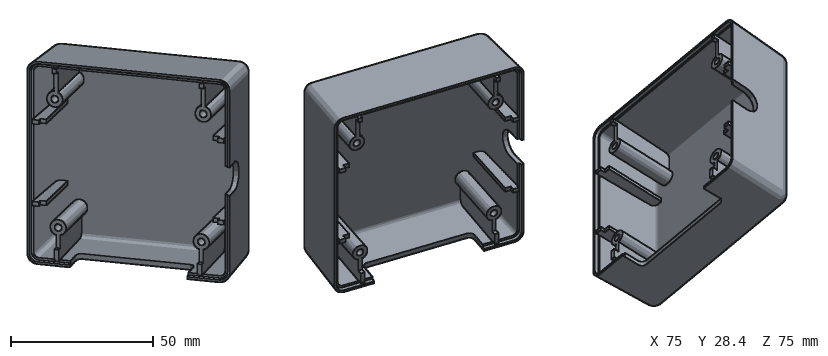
import cadquery as cq
import math

side = 75.0
depth = 28.0
wall = 2.0
draft = 2.0
outer_round = 4.0
inner_round = outer_round - wall
half_opening = side / 2 - wall

rebate_depth = 1.2
rebate_lip = 0.9
rebate_lip_foot = 1.2

rib_thickness = 1.6
rib_top = 1.6

post_diameter = 5.85
post_hole = 2.6
hole_depth = 15.0
post_z = 23.7
upper_tab_length = 1.7
upper_tab_rise = 0.3
lower_tab_length = 4.2
lower_tab_rise = 0.45
upper_left_post_x = -27.75
upper_left_web_x = -27.3
upper_right_post_x = 27.15
lower_post_x = 26.5

side_rib_z = 15.15
side_rib_reach = 4.65
side_tab_length = 2.4
side_tab_rise = 0.3

notch_width = 43.5
notch_depth = 9.4
notch_round = 2.0

port_width = 10.5
port_depth = 11.7
port_z = 0.15


def drafted_block(size, length, radius):
    """Square block narrowing from the rim plane to the back, all edges but the front rounded."""
    block = cq.Workplane("XZ").rect(size, size).extrude(-length, taper=draft)
    return block.edges("not <Y").fillet(radius)


def make_rebate():
    """Recess around the mouth that leaves a thin outer lip with a sloping inner face."""
    size = side - 2 * rebate_lip
    taper = math.degrees(math.atan2(rebate_lip_foot - rebate_lip, rebate_depth))
    recess = cq.Workplane("XZ").rect(size, size).extrude(-rebate_depth, taper=taper)
    return recess.edges("not (<Y or >Y)").fillet(outer_round - rebate_lip)


def make_rib(reach, tab_length, tab_rise):
    """Stepped rib on the +Z wall at X = 0, reaching inward from the opening."""
    inner_z = half_opening - reach
    tab_z = half_opening - tab_length
    profile = [
        (depth, inner_z),
        (rib_top, inner_z),
        (rib_top, tab_z),
        (-tab_rise, tab_z),
        (-tab_rise, half_opening),
        (depth, half_opening),
    ]
    rib = cq.Workplane("YZ", origin=(-rib_thickness / 2, 0, 0)).polyline(profile).close()
    return rib.extrude(rib_thickness)


def cylinder(x, z, diameter, length):
    """Cylinder along +Y starting at the rib front."""
    return cq.Workplane("XZ", origin=(x, rib_top, z)).circle(diameter / 2).extrude(-length)


def make_port():
    """Slot from the rim into the +X wall, ending in a half circle."""
    radius = port_width / 2
    centre_y = port_depth - radius
    plane = cq.Workplane("YZ", origin=(0, 0, port_z))
    round_end = plane.center(centre_y, 0).circle(radius).extrude(side)
    straight = plane.rect(2 * centre_y, port_width).extrude(side)
    return round_end.union(straight)


def make_notch():
    """Wide cut from the rim into the -Z wall, with rounded inner corners."""
    block = cq.Workplane("XY").box(notch_width, 2 * notch_depth, side / 2)
    return block.edges("|Z and >Y").fillet(notch_round).translate((0, 0, -side / 2))


outer = drafted_block(side, depth, outer_round)
cavity = drafted_block(2 * half_opening, depth - wall, inner_round)
result = outer.cut(cavity).cut(make_rebate()).cut(make_notch()).cut(make_port())

y_axis = ((0, 0, 0), (0, 1, 0))
web_reach = half_opening - post_z
upper_web = make_rib(web_reach, upper_tab_length, upper_tab_rise)
lower_web = make_rib(web_reach, lower_tab_length, lower_tab_rise).rotate(*y_axis, 180)
side_rib = make_rib(side_rib_reach, side_tab_length, side_tab_rise)
fittings = [
    upper_web.translate((upper_left_web_x, 0, 0)),
    upper_web.translate((upper_right_post_x, 0, 0)),
    lower_web.translate((-lower_post_x, 0, 0)),
    lower_web.translate((lower_post_x, 0, 0)),
]
for turn in (90, -90):
    turned_rib = side_rib.rotate(*y_axis, turn)
    for z in (side_rib_z, -side_rib_z):
        fittings.append(turned_rib.translate((0, 0, z)))

post_centres = [
    (upper_left_post_x, post_z),
    (upper_right_post_x, post_z),
    (-lower_post_x, -post_z),
    (lower_post_x, -post_z),
]
for x, z in post_centres:
    fittings.append(cylinder(x, z, post_diameter, depth - rib_top))

tab_space = cq.Workplane("XZ").rect(2 * half_opening, 2 * half_opening).extrude(lower_tab_rise)
envelope = outer.union(tab_space)
for fitting in fittings:
    result = result.union(fitting.intersect(envelope))
for x, z in post_centres:
    result = result.cut(cylinder(x, z, post_hole, hole_depth))